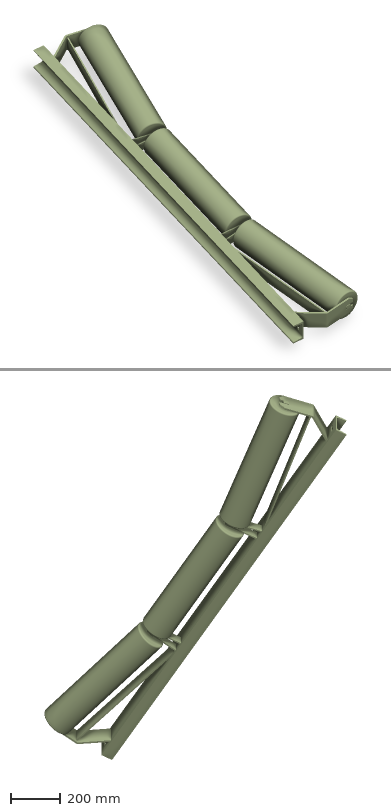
import cadquery as cq
import math


channel_length = 1906
channel_height = 100
channel_width = 50
web_thickness = 6
flange_thickness = 8.5
flange_slope = 0.08
root_radius = 8.5
toe_radius = 4.5
mounting_slot_spacing = 1842
mounting_slot_width = 18
mounting_slot_height = 35

roller_diameter = 133
roller_length = 600
roller_edge_radius = 6
middle_end_gap = 5
wing_end_gap = 8
shaft_diameter = 25
shaft_flats = 18
trough_angle = 10
lead_angle = 1.895
middle_axis_y = 118
middle_axis_z = -21
wing_center_x = 634
wing_center_y = 172.63
wing_center_z = -11.5

outer_half_span = 960.4
outer_width = 80
outer_thickness = 8
outer_bend_radius = 14
outer_bend_y = 113
outer_top_y = 254
foot_slope = 55
tip_chamfer_length = 23
tip_chamfer_height = 16
inner_width = 40
inner_thickness = 6
inner_top_y = 147
brace_slope = 11.7
brace_width = 60
brace_thickness = 6

middle_shaft_length = roller_length + 2 * (middle_end_gap + inner_thickness)
wing_shaft_length = roller_length + 2 * (wing_end_gap + inner_thickness)
brace_fall = math.radians(brace_slope)
trough = math.radians(trough_angle)


def wing_location(side):
    """Placement of a wing roller: local X is its axis and local Y points up."""
    center = cq.Location(cq.Vector(side * wing_center_x, wing_center_y, wing_center_z))
    rise = cq.Location(cq.Vector(), cq.Vector(0, 0, 1), side * trough_angle)
    lead = cq.Location(cq.Vector(), cq.Vector(0, 1, 0), -side * lead_angle)
    return center * rise * lead


middle_location = cq.Location(cq.Vector(0, middle_axis_y, middle_axis_z))


def make_channel():
    half_height = channel_height / 2
    taper = flange_slope * channel_width / 2
    toe_z = half_height - flange_thickness + taper
    root_z = half_height - flange_thickness - flange_slope * (channel_width / 2 - web_thickness)
    section = [
        (0, -half_height),
        (-channel_width, -half_height),
        (-channel_width, -toe_z),
        (-web_thickness, -root_z),
        (-web_thickness, root_z),
        (-channel_width, toe_z),
        (-channel_width, half_height),
        (0, half_height),
    ]
    channel = cq.Workplane("YZ").polyline(section).close().extrude(channel_length / 2, both=True)
    long_edges = cq.selectors.ParallelDirSelector(cq.Vector(1, 0, 0))
    roots = [(0, -web_thickness, side * root_z) for side in (1, -1)]
    toes = [(0, -channel_width, side * toe_z) for side in (1, -1)]
    for points, radius in ((roots, root_radius), (toes, toe_radius)):
        for point in points:
            nearest = cq.selectors.NearestToPointSelector(point)
            channel = channel.edges(long_edges).edges(nearest).fillet(radius)
    slots = (
        cq.Workplane("XZ")
        .pushPoints([(-mounting_slot_spacing / 2, 0), (mounting_slot_spacing / 2, 0)])
        .slot2D(mounting_slot_height, mounting_slot_width, 90)
        .extrude(web_thickness)
    )
    return channel.cut(slots)


def make_roller(location, shaft_length):
    """Roller barrel with its shaft, whose ends are flattened to sit in the bracket slots."""
    barrel = cq.Workplane("YZ", origin=(-roller_length / 2, 0, 0))
    barrel = barrel.circle(roller_diameter / 2).extrude(roller_length).edges().fillet(roller_edge_radius)
    shaft = cq.Workplane("YZ", origin=(-shaft_length / 2, 0, 0))
    shaft = shaft.circle(shaft_diameter / 2).extrude(shaft_length)
    flats = cq.Workplane("XY").box(shaft_length, shaft_diameter, shaft_flats)
    return barrel.union(shaft.intersect(flats)).val().located(location)


def shaft_slot(location, shaft_length):
    """Open-topped slot seat, running the length of a shaft and upward from its underside."""
    slot = cq.Workplane("XY").box(shaft_length, roller_diameter, shaft_flats)
    return slot.translate((0, roller_diameter / 2 - shaft_diameter / 2, 0)).val().located(location)


def bar(outline, width):
    return cq.Workplane("XY").polyline(outline).close().extrude(width / 2, both=True)


bend_x = outer_half_span - outer_bend_radius
bend_inside_radius = outer_bend_radius - outer_thickness


def bend_point(radius, angle):
    return (bend_x + radius * math.cos(angle), outer_bend_y + radius * math.sin(angle))


def make_outer_bracket():
    """Right-hand bracket: sloping foot, then an upright square to the wing roller."""
    foot_rise = math.radians(foot_slope)
    foot_normal = foot_rise - math.pi / 2

    def foot_end(start):
        return (start[0] - start[1] / math.tan(foot_rise), 0)

    outer_low = bend_point(outer_bend_radius, foot_normal)
    outer_high = bend_point(outer_bend_radius, trough)
    inside_low = bend_point(bend_inside_radius, foot_normal)
    inside_high = bend_point(bend_inside_radius, trough)
    tip_x = outer_high[0] - (outer_top_y - outer_high[1]) * math.tan(trough)
    inside_tip = (
        tip_x - outer_thickness * math.cos(trough),
        outer_top_y - outer_thickness * math.sin(trough),
    )
    bracket = (
        cq.Workplane("XY")
        .moveTo(*foot_end(outer_low))
        .lineTo(*outer_low)
        .threePointArc(bend_point(outer_bend_radius, 0), outer_high)
        .lineTo(tip_x, outer_top_y)
        .lineTo(*inside_tip)
        .lineTo(*inside_high)
        .threePointArc(bend_point(bend_inside_radius, 0), inside_low)
        .lineTo(*foot_end(inside_low))
        .close()
        .extrude(outer_width / 2, both=True)
    )
    half = outer_width / 2
    for side in (1, -1):
        corner = [
            (outer_top_y - tip_chamfer_length, side * half),
            (outer_top_y, side * half),
            (outer_top_y, side * (half - tip_chamfer_height)),
        ]
        bracket = bracket.cut(cq.Workplane("YZ").polyline(corner).close().extrude(outer_half_span))
    return bracket.cut(cq.Workplane(shaft_slot(wing_location(1), wing_shaft_length)))


def make_inner_bracket():
    """Right-hand inverted U: a leg square to the middle roller and one square to the wing roller."""
    left = middle_shaft_length / 2 - inner_thickness
    face = wing_shaft_length / 2 - inner_thickness
    wing_foot = wing_center_x - face / math.cos(trough) + wing_center_y * math.tan(trough)
    top_right = wing_foot - inner_top_y * math.tan(trough)
    leg_run = inner_thickness / math.cos(trough)
    under_y = inner_top_y - inner_thickness
    outline = [
        (left, 0),
        (left, inner_top_y),
        (top_right, inner_top_y),
        (wing_foot, 0),
        (wing_foot - leg_run, 0),
        (wing_foot - leg_run - under_y * math.tan(trough), under_y),
        (left + inner_thickness, under_y),
        (left + inner_thickness, 0),
    ]
    bracket = bar(outline, inner_width).translate((0, 0, middle_axis_z))
    bracket = bracket.cut(cq.Workplane(shaft_slot(middle_location, middle_shaft_length)))
    return bracket.cut(cq.Workplane(shaft_slot(wing_location(1), wing_shaft_length)))


def make_brace():
    """Right-hand brace from the bend of the outer bracket down to the channel."""
    seat = brace_thickness / math.cos(brace_fall - trough)
    lower = bend_point(bend_inside_radius, trough)
    upper = (lower[0] - seat * math.sin(trough), lower[1] + seat * math.cos(trough))
    outline = [
        lower,
        upper,
        (upper[0] - upper[1] / math.tan(brace_fall), 0),
        (lower[0] - lower[1] / math.tan(brace_fall), 0),
    ]
    return bar(outline, brace_width)


def both_sides(body):
    return [body.val(), body.mirror("YZ").val()]


channel = make_channel()
middle_roller = make_roller(middle_location, middle_shaft_length)
wing_rollers = [make_roller(wing_location(side), wing_shaft_length) for side in (1, -1)]
outer_brackets = both_sides(make_outer_bracket())
inner_brackets = both_sides(make_inner_bracket())
braces = both_sides(make_brace())

result = cq.Compound.makeCompound(
    [channel.val(), middle_roller, *wing_rollers, *outer_brackets, *inner_brackets, *braces]
)